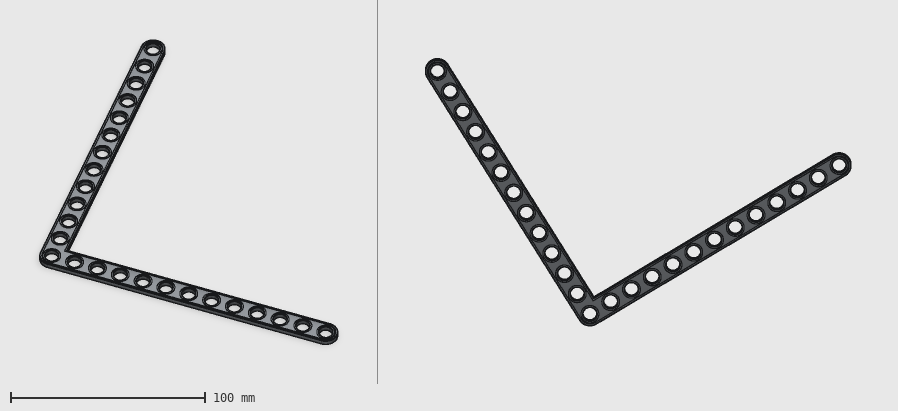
import cadquery as cq

leg_length = 162.5
thickness = 3.1
holes_per_leg = 13

pitch = leg_length / holes_per_leg
bar_width = pitch
hole_span = pitch * (holes_per_leg - 1)

border_width = 1.1
recess_depth = 0.2

hole_diameter = 7.0
ring_diameter = hole_diameter + 2 * border_width

edge_chamfer = 0.3

corner = -hole_span / 2
along_leg = [corner + i * pitch for i in range(holes_per_leg)]
hole_centers = [(x, corner) for x in along_leg] + [(corner, y) for y in along_leg[1:]]


def angle_plate(inset, height):
    """L of two round-ended bars whose outline is moved inwards by the inset."""
    length = leg_length - 2 * inset
    width = bar_width - 2 * inset
    leg_x = cq.Workplane("XY").center(0, corner).slot2D(length, width, 0).extrude(height)
    leg_y = cq.Workplane("XY").center(corner, 0).slot2D(length, width, 90).extrude(height)
    return leg_x.union(leg_y).clean()


def recess():
    """Shallow pocket inside the rim that leaves a ring around every hole."""
    rings = cq.Workplane("XY").pushPoints(hole_centers).circle(ring_diameter / 2).extrude(recess_depth)
    return angle_plate(border_width, recess_depth).cut(rings)


def chamfered_hole():
    """Solid of one through hole, widened at both mouths by the chamfer."""
    bore_radius = hole_diameter / 2
    mouth_radius = bore_radius + edge_chamfer
    return (
        cq.Workplane("XZ")
        .moveTo(0, 0)
        .lineTo(mouth_radius, 0)
        .lineTo(bore_radius, edge_chamfer)
        .lineTo(bore_radius, thickness - edge_chamfer)
        .lineTo(mouth_radius, thickness)
        .lineTo(0, thickness)
        .close()
        .revolve(360, (0, 0), (0, 1))
        .val()
    )


body = angle_plate(0, thickness).faces("|Z").edges().chamfer(edge_chamfer)
body = body.cut(recess())
body = body.cut(recess().translate((0, 0, thickness - recess_depth)))

hole = chamfered_hole()
holes = cq.Workplane("XY").pushPoints(hole_centers).eachpoint(lambda place: hole.moved(place))
result = body.cut(holes)